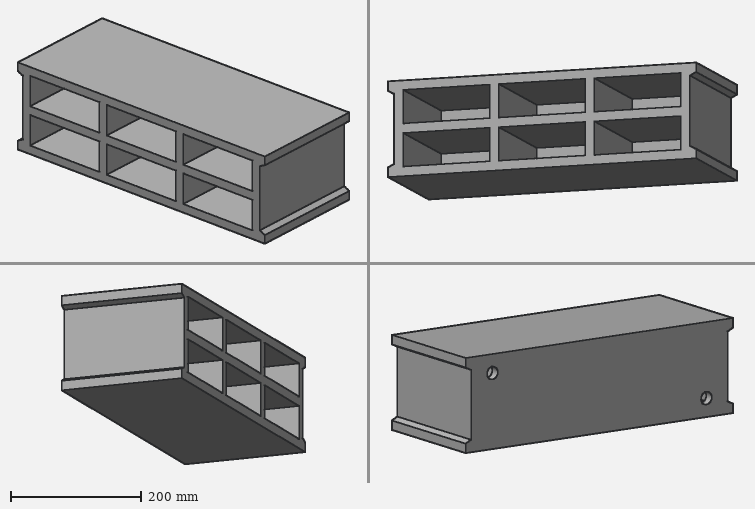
import cadquery as cq

length = 500.0
depth = 200.0
height = 150.0

wall = 15.0
back_wall = 15.0
end_recess = 10.0
lip_rise = 5.0

columns = 3
rows = 2
pocket_length = (length - 2 * end_recess - (columns + 1) * wall) / columns
pocket_height = (height - (rows + 1) * wall) / rows
pocket_depth = depth - back_wall

hole_diameter = 20.0
hole_from_end = 50.0
hole_from_face = 30.0


def make_body():
    """Block whose two ends are recessed between sloped top and bottom lips."""
    half_length = length / 2
    web_x = half_length - end_recess
    lip_z = height / 2 - wall
    web_z = lip_z - lip_rise
    right_side = [
        (half_length, -height / 2),
        (half_length, -lip_z),
        (web_x, -web_z),
        (web_x, web_z),
        (half_length, lip_z),
        (half_length, height / 2),
    ]
    left_side = [(-x, z) for x, z in reversed(right_side)]
    profile = cq.Workplane("XZ").polyline(right_side + left_side).close()
    return profile.extrude(depth / 2, both=True)


def make_pockets():
    """Rectangular pockets running back from the front face."""
    return (
        cq.Workplane("XZ", origin=(0, -depth / 2, 0))
        .rarray(pocket_length + wall, pocket_height + wall, columns, rows)
        .rect(pocket_length, pocket_height)
        .extrude(-pocket_depth)
    )


def make_holes():
    """Two diagonally opposite holes along Y."""
    hole_x = length / 2 - hole_from_end
    hole_z = height / 2 - hole_from_face
    return (
        cq.Workplane("XZ")
        .pushPoints([(-hole_x, -hole_z), (hole_x, hole_z)])
        .circle(hole_diameter / 2)
        .extrude(depth / 2, both=True)
    )


result = make_body().cut(make_pockets()).cut(make_holes())